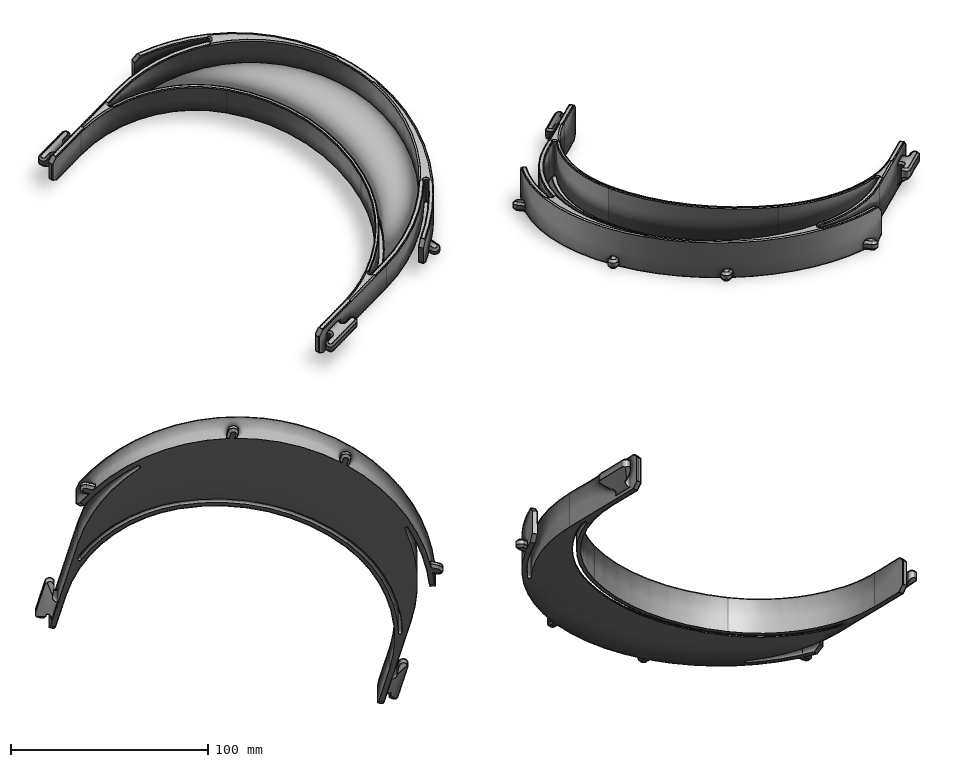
import cadquery as cq
import math

height = 20.0
edge_chamfer = 0.48
joint_bevel_width = 1.0

frame_radius = 87.9
frame_wall = 2.7
frame_centre_y = 55.0
end_chamfer = 3.2

band_wall = 2.1
band_front_radius = 98.5
band_front_centre_y = 1.5
band_side_radius = 74.5
band_joint_x = 43.5
band_gap_end_radius = 0.8
band_joint_end_y = 26.0

brim_thickness = 1.1
brim_gap = 2.1

visor_radius = 100.7
visor_wall = 2.7
visor_tip_angle = 20.0
visor_tip_chamfer = 3.5
visor_gap_end_radius = 0.92
visor_joint_end_x = 13.4

hook_reach = 95.5
hook_bar_width = 4.8
hook_bar_length = 22.7
hook_centre_y = 11.7
hook_stem_width = 11.8
hook_bottom = 1.1
hook_top = 14.5
hook_bar_bottom = 9.7
hook_chamfer = 1.1

pin_width = 5.3
pin_height = 5.0
pin_length = 7.5
pin_chamfer = 1.3
front_pin_x = 29.6
front_pin_end_y = 143.8
side_pin_y = 87.9
side_pin_end_x = 95.5

frame_centre = (0, frame_centre_y)
frame_inner_radius = frame_radius - frame_wall
visor_centre = (0, frame_centre_y + frame_radius - visor_radius)
visor_inner_radius = visor_radius - visor_wall
visor_tip = math.radians(visor_tip_angle)
band_outer_radius = band_side_radius + band_wall
band_front_centre = (0, band_front_centre_y)
joint_angle = math.acos(band_joint_x / band_front_radius)


def polar(centre, radius, angle):
    return (centre[0] + radius * math.cos(angle), centre[1] + radius * math.sin(angle))


def angle_to(centre, point):
    return math.atan2(point[1] - centre[1], point[0] - centre[0])


band_side_centre = polar(band_front_centre, band_front_radius - band_side_radius, joint_angle)


def arc(path, centre, radius, start, end):
    """Carry a path along a circle between two angles, given in radians."""
    return path.threePointArc(polar(centre, radius, (start + end) / 2), polar(centre, radius, end))


def both_sides(body):
    return body.union(body.mirror("YZ"))


def visor_gap_round():
    """Centre of the round that touches the frame and the inside of the visor strip."""
    spacing = frame_centre[1] - visor_centre[1]
    from_frame = frame_radius + visor_gap_end_radius
    from_visor = visor_inner_radius - visor_gap_end_radius
    rise = (from_visor**2 - from_frame**2 - spacing**2) / (2 * spacing)
    return (math.sqrt(from_frame**2 - rise**2), frame_centre[1] + rise)


def band_gap_round():
    """Centre of the round that touches the arm and the outside of the headband."""
    x = frame_inner_radius - band_gap_end_radius
    across = x - band_side_centre[0]
    reach = band_outer_radius + band_gap_end_radius
    return (x, band_side_centre[1] + math.sqrt(reach**2 - across**2))


visor_round_centre = visor_gap_round()
frame_touch = angle_to(frame_centre, visor_round_centre)
visor_touch = angle_to(visor_centre, visor_round_centre)
band_round_centre = band_gap_round()
band_touch = angle_to(band_side_centre, band_round_centre)


def outline():
    """Right half of everything inside the outer faces of the arms, frame and visor strip."""
    path = cq.Workplane("XY").lineTo(frame_radius, 0).lineTo(frame_radius, frame_centre[1])
    path = arc(path, frame_centre, frame_radius, 0, frame_touch)
    path = arc(path, visor_round_centre, visor_gap_end_radius, frame_touch + math.pi, visor_touch)
    path = arc(path, visor_centre, visor_inner_radius, visor_touch, visor_tip)
    path = path.lineTo(*polar(visor_centre, visor_radius, visor_tip))
    path = arc(path, visor_centre, visor_radius, visor_tip, math.pi / 2)
    return path.close().extrude(height)


def head_opening(offset, depth):
    """Right half of the area inside the headband's inner face, grown outward by offset."""
    side = band_side_radius + offset
    path = cq.Workplane("XY").lineTo(band_side_centre[0] + side, 0)
    path = path.lineTo(band_side_centre[0] + side, band_side_centre[1])
    path = arc(path, band_side_centre, side, 0, joint_angle)
    path = arc(path, band_front_centre, band_front_radius + offset, joint_angle, math.pi / 2)
    return path.close().extrude(depth)


def window():
    """Right half of the crescent between the frame and the headband."""
    front_y = band_front_centre[1] + band_front_radius + band_wall
    path = cq.Workplane("XY").moveTo(0, front_y).lineTo(0, frame_centre[1] + frame_inner_radius)
    path = arc(path, frame_centre, frame_inner_radius, math.pi / 2, 0)
    path = path.lineTo(frame_inner_radius, band_round_centre[1])
    path = arc(path, band_round_centre, band_gap_end_radius, 0, band_touch - math.pi)
    path = arc(path, band_side_centre, band_outer_radius, band_touch, joint_angle)
    path = arc(path, band_front_centre, band_front_radius + band_wall, joint_angle, math.pi / 2)
    return path.close().extrude(height)


def is_rim(edge):
    """True for the upper edges along the walls and for the upright edges at the arm ends."""
    middle = edge.Center()
    across_wall = edge.geomType() == "LINE" and edge.Length() < 1.5 * frame_wall
    at_top = middle.z > height - edge_chamfer
    at_arm_end = middle.y < edge_chamfer and middle.z > end_chamfer
    return (at_top or at_arm_end) and not across_wall


def walls():
    """Frame, headband and visor strip with their ends and upper edges chamfered."""
    half = outline().cut(window()).cut(head_opening(0, height))
    body = both_sides(half)
    body = body.faces("<Y").edges("|X").chamfer(end_chamfer)
    tip_y = polar(visor_centre, visor_radius, visor_tip)[1]
    for z in (0, height):
        low_corner = (-visor_radius, tip_y - visor_wall, z - edge_chamfer)
        high_corner = (visor_radius, tip_y + visor_wall, z + edge_chamfer)
        near_tips = cq.selectors.BoxSelector(low_corner, high_corner)
        body = body.edges(near_tips).chamfer(visor_tip_chamfer)
    rim = [edge for edge in body.edges().vals() if is_rim(edge)]
    return body.newObject(rim).chamfer(edge_chamfer)


def bevel_section(edge_x, inward):
    """Triangle in the XZ plane that bevels a top edge at edge_x; inward is +1 or -1, toward the solid."""
    overshoot = 1.5
    outer_x = edge_x + inward * joint_bevel_width * (1 - overshoot)
    inner_x = edge_x + inward * joint_bevel_width * overshoot
    top = height + edge_chamfer * (overshoot - 1)
    low = height - edge_chamfer * overshoot
    return cq.Workplane("XZ").polyline([(outer_x, top), (inner_x, top), (outer_x, low)]).close()


def round_bevel(centre, radius, inward, start, end):
    """Bevel along a circle, counterclockwise from one angle to another."""
    ring = bevel_section(radius, inward).revolve(math.degrees(end - start), (0, 0, 0), (0, 1, 0))
    return ring.rotate((0, 0, 0), (0, 0, 1), math.degrees(start)).translate((centre[0], centre[1], 0))


def joint_bevels():
    """Wider bevels where the strip joins the frame and where the headband joins the arm."""
    joint_end = math.acos(visor_joint_end_x / visor_radius)
    band_end = math.asin((band_joint_end_y - band_side_centre[1]) / band_side_radius)
    arm_length = band_round_centre[1] - band_joint_end_y
    arm = bevel_section(frame_radius, -1).extrude(-arm_length).translate((0, band_joint_end_y, 0))
    return [
        round_bevel(visor_centre, visor_radius, -1, visor_touch, joint_end),
        round_bevel(frame_centre, frame_inner_radius, 1, frame_touch, joint_end),
        round_bevel(visor_round_centre, visor_gap_end_radius, 1, visor_touch, frame_touch + math.pi),
        round_bevel(band_round_centre, band_gap_end_radius, 1, band_touch - math.pi, 0),
        round_bevel(band_side_centre, band_side_radius, 1, band_end, band_touch),
        arm,
    ]


def brim():
    """Sheet rooted halfway into the frame wall, with a chamfered edge toward the headband."""
    outer_radius = frame_radius - frame_wall / 2
    path = cq.Workplane("XY").lineTo(outer_radius, 0).lineTo(outer_radius, frame_centre[1])
    path = arc(path, frame_centre, outer_radius, 0, math.pi / 2)
    sheet = path.close().extrude(brim_thickness)
    sheet = both_sides(sheet.cut(head_opening(band_wall + brim_gap, brim_thickness)))
    front_y = band_front_centre[1] + band_front_radius + band_wall + brim_gap
    free_edge = cq.selectors.NearestToPointSelector((0, front_y, brim_thickness))
    return sheet.faces(">Z").edges(free_edge).chamfer(edge_chamfer)


def hook_plan():
    """Bar, waisted stem and a root inside the arm wall, standing upright."""
    bar_x = hook_reach - hook_bar_width / 2
    waist_length = hook_reach - hook_bar_width - frame_radius
    waist_x = frame_radius + waist_length / 2
    root_x = frame_radius - frame_wall / 2
    root_width = hook_stem_width + 2 * waist_length
    depth = hook_top - hook_bottom
    base = cq.Workplane("XY").workplane(offset=hook_bottom)
    bar = base.center(bar_x, hook_centre_y).slot2D(hook_bar_length, hook_bar_width, 90).extrude(depth)
    stem_length = bar_x - frame_radius
    stem_x = frame_radius + stem_length / 2
    stem = base.center(stem_x, hook_centre_y).rect(stem_length, hook_stem_width).extrude(depth)
    root = base.center(root_x, hook_centre_y).rect(frame_wall, root_width).extrude(depth)
    notches = (
        base.center(waist_x, hook_centre_y)
        .pushPoints([(0, -hook_stem_width / 2), (0, hook_stem_width / 2)])
        .circle(waist_length / 2)
        .extrude(depth)
    )
    return bar.union(stem).union(root).cut(notches)


def hook():
    body = hook_plan().faces(">Z").edges("not <X").chamfer(hook_chamfer)
    root_low = hook_bar_bottom - (hook_reach - frame_radius)
    outward_slope = (
        cq.Workplane("XZ")
        .polyline(
            [
                (0, root_low),
                (frame_radius, root_low),
                (hook_reach, hook_bar_bottom),
                (hook_reach, height),
                (0, height),
            ]
        )
        .close()
        .extrude(-(hook_centre_y + hook_bar_length))
    )
    half_stem = hook_stem_width / 2
    half_bar = hook_bar_length / 2
    side_low = hook_bar_bottom - (half_bar - half_stem)
    right_side = [(half_stem, 0), (half_stem, side_low), (half_bar, hook_bar_bottom), (half_bar, height)]
    left_side = [(-y, z) for y, z in reversed(right_side)]
    sideways_slope = (
        cq.Workplane("YZ")
        .center(hook_centre_y, 0)
        .polyline(right_side + left_side)
        .close()
        .extrude(hook_reach)
    )
    return body.intersect(outward_slope).intersect(sideways_slope)


def pin(end, direction):
    """Round-ended peg whose tip lies at end, pointing along a direction given in degrees."""
    radius = pin_width / 2
    peg = (
        cq.Workplane("XY")
        .moveTo(-pin_length, -radius)
        .lineTo(-radius, -radius)
        .threePointArc((0, 0), (-radius, radius))
        .lineTo(-pin_length, radius)
        .close()
        .extrude(pin_height)
    )
    for face in (">Z", "<Z"):
        peg = peg.faces(face).edges("not <X").chamfer(pin_chamfer)
    return peg.rotate((0, 0, 0), (0, 0, 1), direction).translate((end[0], end[1], 0))


result = walls()
for bevel in joint_bevels():
    result = result.cut(both_sides(bevel))
result = result.union(brim())
front_pin = pin((front_pin_x, front_pin_end_y), 90)
side_pin = pin((side_pin_end_x, side_pin_y), 0)
for fitting in (hook(), front_pin, side_pin):
    result = result.union(both_sides(fitting))
result = result.solids()